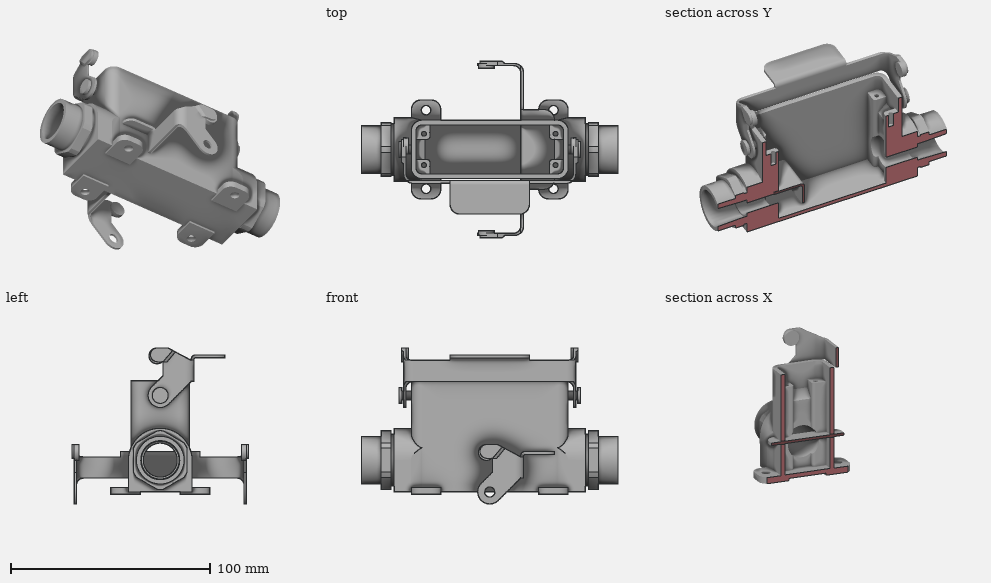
import cadquery as cq
import math

overall_length = 129.0

shell_length = 78.8
shell_width = 29.4
shell_height = 56.0
shell_corner = 5.4
cavity_length = 74.0
cavity_width = 24.5
cavity_corner = 3.0
floor_thickness = 2.5

ledge_depth = 4.5
ledge_top_z = 42.6
ledge_drop = 4.5

post_inner_x = 30.0
post_inner_y = 5.0
post_corner = 1.5
post_top_z = 46.8
post_hole_x = 33.0
post_hole_y = 7.9
post_hole_diameter = 2.5
post_hole_depth = 7.7

block_length = 96.0
block_half_width = 16.0
axis_z = block_half_width

entry_hole_diameter = 17.0
tube_mouth_diameter = 19.6
tube_bore_diameter = 19.0
tube_taper_length = 12.5
tube_diameter = 24.0
collar_diameter = 26.0
hex_across_flats = 27.0
hex_round_diameter = 29.5
hex_inner_x = 49.5
hex_outer_x = 54.6

foot_length = 14.8
foot_outer_y = 24.9
foot_inner_y = 9.9
foot_corner = 4.9
foot_thickness = 3.5
foot_bottom_z = -1.2
foot_hole_y = 19.7
foot_hole_diameter = 4.6

pivot_z = 48.5
pin_diameter = 4.5
pin_head_diameter = 8.0
pin_head_inner_x = 44.1
pin_head_outer_x = 45.7

arm_outer = 43.2
arm_thickness = 1.2
bar_outer = 17.0
bar_thickness = 1.5
bar_bottom = 7.1
bar_top = 17.7
lever_bend = 4.6
pivot_eye_radius = 6.0
pivot_eye_hole = 5.0
arm_back = 1.3
nose_radius = 3.5
nose_reach = -1.4
nose_top = 23.9
nose_crest = 3.9
pad_thickness = 1.2
pad_heel = 3.5
pad_slope_run = 1.5
pad_angle = 50.0
knob_diameter = 8.0
knob_reach = -1.7
knob_height = 19.9
knob_thickness = 2.5
tab_width = 40.0
tab_reach = 32.5
tab_rise = 20.4
tab_corner = 5.0
tab_bend = 2.3


def rounded_block(length, width, bottom_z, top_z, corner):
    """Upright block centred on Z with rounded vertical edges."""
    return (
        cq.Workplane("XY", origin=(0, 0, bottom_z))
        .rect(length, width)
        .extrude(top_z - bottom_z)
        .edges("|Z")
        .fillet(corner)
    )


def x_cylinder(diameter, start_x, end_x, z):
    """Cylinder along X at height z, on the plane Y = 0."""
    return cq.Workplane("YZ", origin=(start_x, 0, z)).circle(diameter / 2).extrude(end_x - start_x)


def entry_blocks():
    """Arched bar through the shell, its sides tapering in to meet the shell walls."""
    arch = (
        cq.Workplane("YZ", origin=(-block_length / 2, 0, 0))
        .moveTo(-block_half_width, 0)
        .lineTo(-block_half_width, axis_z)
        .threePointArc((0, axis_z + block_half_width), (block_half_width, axis_z))
        .lineTo(block_half_width, 0)
        .close()
        .extrude(block_length)
    )
    taper_end_x = shell_length / 2 - shell_corner
    plan = cq.Workplane("XY")
    for side in (-1, 1):
        plan = plan.union(
            cq.Workplane("XY")
            .polyline([
                (0, -shell_width / 2),
                (side * taper_end_x, -shell_width / 2),
                (side * shell_length / 2, -block_half_width),
                (side * block_length / 2, -block_half_width),
                (side * block_length / 2, block_half_width),
                (side * shell_length / 2, block_half_width),
                (side * taper_end_x, shell_width / 2),
                (0, shell_width / 2),
            ])
            .close()
            .extrude(shell_height)
        )
    return arch.intersect(plan)


def feet():
    """Four mounting feet with screw holes."""
    foot_x = (shell_length - foot_length) / 2
    foot_width = foot_outer_y - foot_inner_y
    pads = cq.Workplane("XY")
    for side in (-1, 1):
        pad = (
            cq.Workplane("XY", origin=(0, side * (foot_outer_y + foot_inner_y) / 2, foot_bottom_z))
            .pushPoints([(-foot_x, 0), (foot_x, 0)])
            .rect(foot_length, foot_width)
            .extrude(foot_thickness)
            .edges("|Z")
            .edges(">Y" if side > 0 else "<Y")
            .fillet(foot_corner)
        )
        pads = pads.union(pad)
    holes = (
        cq.Workplane("XY", origin=(0, 0, foot_bottom_z))
        .rect(2 * foot_x, 2 * foot_hole_y, forConstruction=True)
        .vertices()
        .circle(foot_hole_diameter / 2)
        .extrude(foot_thickness)
    )
    return pads.cut(holes)


def cable_tube():
    """Collar, hexagon and tube at the +X end."""
    collar = x_cylinder(collar_diameter, block_length / 2, hex_inner_x, axis_z)
    hexagon = (
        cq.Workplane("YZ", origin=(hex_inner_x, 0, axis_z))
        .polygon(6, hex_across_flats / math.cos(math.pi / 6))
        .extrude(hex_outer_x - hex_inner_x)
        .rotate((0, 0, axis_z), (1, 0, axis_z), 90)
        .intersect(x_cylinder(hex_round_diameter, hex_inner_x, hex_outer_x, axis_z))
    )
    tube = x_cylinder(tube_diameter, hex_outer_x, overall_length / 2, axis_z)
    return collar.union(hexagon).union(tube)


def tube_bore():
    """Bore of the +X tube: tapered at the mouth, then straight up to the entry block."""
    mouth_x = overall_length / 2
    return (
        cq.Workplane("XZ", origin=(0, 0, axis_z))
        .polyline([
            (block_length / 2, 0),
            (block_length / 2, tube_bore_diameter / 2),
            (mouth_x - tube_taper_length, tube_bore_diameter / 2),
            (mouth_x, tube_mouth_diameter / 2),
            (mouth_x, 0),
        ])
        .close()
        .revolve(360, (0, 0), (1, 0))
    )


def pivot_pin():
    """Headed lever pin at the +X end."""
    shaft = x_cylinder(pin_diameter, shell_length / 2, pin_head_inner_x, pivot_z)
    return shaft.union(x_cylinder(pin_head_diameter, pin_head_inner_x, pin_head_outer_x, pivot_z))


def cavity():
    """Open pocket less its screw posts and sloped end ledges."""
    pocket = rounded_block(cavity_length, cavity_width, floor_thickness, shell_height, cavity_corner)
    ledge = (
        cq.Workplane("XZ", origin=(0, cavity_width / 2, 0))
        .polyline([
            (cavity_length / 2, floor_thickness),
            (cavity_length / 2, ledge_top_z),
            (cavity_length / 2 - ledge_depth, ledge_top_z - ledge_drop),
            (cavity_length / 2 - ledge_depth, floor_thickness),
        ])
        .close()
        .extrude(cavity_width)
    )
    post_length = cavity_length / 2 - post_inner_x
    post_width = cavity_width / 2 - post_inner_y
    post = (
        cq.Workplane("XY", origin=(post_inner_x, post_inner_y, floor_thickness))
        .rect(post_length, post_width, centered=False)
        .extrude(post_top_z - floor_thickness)
        .edges("|Z and <X and <Y")
        .fillet(post_corner)
    )
    post_hole = (
        cq.Workplane("XY", origin=(post_hole_x, post_hole_y, post_top_z))
        .circle(post_hole_diameter / 2)
        .extrude(-post_hole_depth)
    )
    post = post.cut(post_hole)
    end_fill = ledge.union(post).union(post.mirror("XZ"))
    end_fill = end_fill.cut(post_hole).cut(post_hole.mirror("XZ"))
    return pocket.cut(end_fill).cut(end_fill.mirror("YZ"))


def make_housing():
    shell = rounded_block(shell_length, shell_width, 0, shell_height, shell_corner)
    body = shell.union(entry_blocks()).union(feet())
    for end_part in (cable_tube(), pivot_pin()):
        body = body.union(end_part).union(end_part.mirror("YZ"))
    bore = tube_bore()
    entry_hole = x_cylinder(entry_hole_diameter, -block_length / 2, block_length / 2, axis_z)
    return body.cut(cavity()).cut(entry_hole).cut(bore).cut(bore.mirror("YZ"))


def arm_outline():
    """Side outline of an arm: +x runs from the pivot to the bar, +y runs up."""
    eye = pivot_eye_radius * math.sqrt(0.5)
    eye_offset = 2 * eye
    nose_middle = nose_top - nose_radius
    nose_bottom = nose_top - 2 * nose_radius
    return (
        cq.Workplane("YZ")
        .moveTo(-eye, eye)
        .lineTo(arm_back, arm_back + eye_offset)
        .lineTo(arm_back, nose_bottom)
        .lineTo(nose_reach, nose_bottom)
        .threePointArc((nose_reach - nose_radius, nose_middle), (nose_reach, nose_top))
        .lineTo(nose_crest, nose_top)
        .lineTo(bar_outer - bar_thickness, bar_top)
        .lineTo(bar_outer, bar_top)
        .lineTo(bar_outer, bar_bottom)
        .lineTo(bar_bottom + eye_offset, bar_bottom)
        .lineTo(eye, -eye)
        .threePointArc((-eye, -eye), (-eye, eye))
        .close()
    )


def side_profile(width):
    """Arm outline extruded over a width centred on X = 0, its bar on the -Y side."""
    return arm_outline().extrude(width / 2, both=True).mirror("XZ")


def strap():
    """Flat strip bent to a U: bar and two arms, cut to the arm outline."""
    reach = bar_outer + 2 * pivot_eye_radius
    low = -pivot_eye_radius
    outer = (
        cq.Workplane("XY", origin=(0, -bar_outer, low))
        .rect(2 * arm_outer, 2 * reach)
        .extrude(nose_top - low)
        .translate((0, reach, 0))
        .edges("|Z and <Y")
        .fillet(lever_bend)
    )
    inner = (
        cq.Workplane("XY", origin=(0, bar_thickness - bar_outer, low))
        .rect(2 * (arm_outer - arm_thickness), 2 * reach)
        .extrude(nose_top - low)
        .translate((0, reach, 0))
        .edges("|Z and <Y")
        .fillet(lever_bend - arm_thickness)
    )
    eye_hole = x_cylinder(pivot_eye_hole, -arm_outer, arm_outer, 0)
    return outer.cut(inner).intersect(side_profile(2 * arm_outer)).cut(eye_hole)


def nose_pad():
    """Raised pad on the outer face of the +X arm's nose, with one sloped side."""
    angle = math.radians(pad_angle)
    run = 2 * nose_top
    heel_plane = cq.Plane(
        origin=(arm_outer, -pad_heel, nose_top - 2 * nose_radius),
        xDir=(0, math.sin(angle), math.cos(angle)),
        normal=(0, -math.cos(angle), math.sin(angle)),
    )
    sloped_bar = (
        cq.Workplane(heel_plane)
        .polyline([(0, 0), (pad_slope_run, -pad_thickness), (run, -pad_thickness), (run, 0)])
        .close()
        .extrude(run, both=True)
    )
    above_heel = cq.Workplane("XY", origin=(arm_outer, 0, nose_top - 2 * nose_radius)).rect(run, run).extrude(run)
    return side_profile(2 * (arm_outer + pad_thickness)).intersect(sloped_bar).intersect(above_heel)


def nose_knob():
    """Round knob on the inner side of the +X arm's nose."""
    return (
        cq.Workplane("YZ", origin=(arm_outer, -knob_reach, knob_height))
        .circle(knob_diameter / 2)
        .extrude(-knob_thickness)
    )


def thumb_tab():
    """Tab that rises from the bar and bends outward, with rounded outer corners."""
    bar_inner = bar_outer - bar_thickness
    inner_bend = tab_bend - bar_thickness
    bend_y = bar_inner + tab_bend
    bend_z = tab_rise - tab_bend
    diagonal = math.sqrt(0.5)
    return (
        cq.Workplane("YZ")
        .moveTo(-bar_inner, bar_top)
        .lineTo(-bar_inner, bend_z)
        .threePointArc((-bend_y + tab_bend * diagonal, bend_z + tab_bend * diagonal), (-bend_y, tab_rise))
        .lineTo(-tab_reach, tab_rise)
        .lineTo(-tab_reach, tab_rise - bar_thickness)
        .lineTo(-bend_y, tab_rise - bar_thickness)
        .threePointArc(
            (-bend_y + inner_bend * diagonal, bend_z + inner_bend * diagonal),
            (-bar_outer, bend_z),
        )
        .lineTo(-bar_outer, bar_top)
        .close()
        .extrude(tab_width / 2, both=True)
        .edges("|Z and <Y")
        .fillet(tab_corner)
    )


def make_lever():
    lever = strap().union(thumb_tab())
    for nose_part in (nose_pad(), nose_knob()):
        lever = lever.union(nose_part).union(nose_part.mirror("YZ"))
    return lever


mounted_lever = make_lever().translate((0, 0, pivot_z))
crossing_lever = make_lever().rotate((0, 0, 0), (0, 0, 1), 90)
housing = make_housing().cut(crossing_lever)

result = cq.Compound.makeCompound([housing.val(), mounted_lever.val(), crossing_lever.val()])